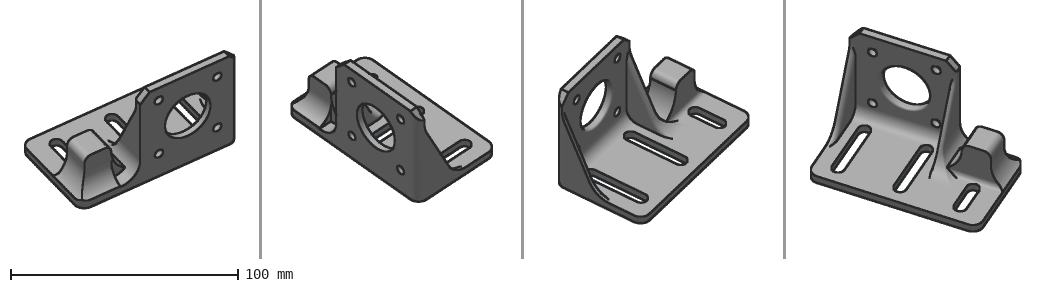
import cadquery as cq
import math

WIDTH = 48.0
LENGTH = 83.3
HEIGHT = 53.0
THICKNESS = 4.0
CORNER = 5.0

PLATE_FRONT = WIDTH - THICKNESS
PLATE_NEAR = 31.2
INNER_BEND = 6.0
BORE = 24.0
BORE_Y = 56.4
BORE_Z = 28.5
BORE_ROUND = 1.0
SCREW_HOLE = 4.3
SCREW_POINTS = [(72.05, 43.9), (41.1, 45.5), (72.05, 13.5), (41.2, 13.5)]

RIB_THICKNESS = 3.1
RIB_FOOT = 18.2
RIB_BLEND = 12.0
RIB_TOP = 45.0
RIB_INNER_ROUND = 2.0
RIB_OUTER_ROUND = 1.0
GUSSET_RADIUS = 10.0

MARGIN = 0.1

SLOT_WIDTH = 6.0
SLOT_START = 6.0
LONG_SLOT_END = 39.0
SHORT_SLOT_END = 25.0
SLOTS = [(72.3, LONG_SLOT_END), (42.2, LONG_SLOT_END), (12.9, SHORT_SLOT_END)]

BLOCK_LEFT = 27.0
BLOCK_RIGHT = 40.9
BLOCK_NEAR = 6.5
BLOCK_FAR = 20.7
BLOCK_TOP = 23.5
BLOCK_ROUND = 3.7
NEAR_SWEEP = 14.0
NEAR_SWEEP_TOP = 15.8
FAR_SWEEP = 16.0
LEFT_FILLET = 2.5
RIGHT_SWEEP = 10.0


def box(x0, x1, y0, y1, z0, z1):
    """Box between opposite corners."""
    return cq.Workplane("XY").box(x1 - x0, y1 - y0, z1 - z0, centered=False).translate((x0, y0, z0))


def arc_point(center, radius, angle):
    """Point on a circle, with the angle in radians."""
    return (center[0] + radius * math.cos(angle), center[1] + radius * math.sin(angle))


def extrude_y(outline, y0, y1):
    """Extrude a closed XZ outline from y0 to y1."""
    return outline.extrude(y0 - y1).translate((0, y0, 0))


def make_base():
    """Base slab with the bend that carries the upright plate."""
    base = box(0, WIDTH, 0, LENGTH, 0, THICKNESS)
    bend_start = PLATE_FRONT - INNER_BEND
    bend_center = (bend_start, THICKNESS + INNER_BEND)
    bend = (
        cq.Workplane("XZ")
        .moveTo(bend_start, 0)
        .lineTo(bend_start, THICKNESS)
        .threePointArc(
            arc_point(bend_center, INNER_BEND, -math.pi / 4),
            (PLATE_FRONT, THICKNESS + INNER_BEND),
        )
        .lineTo(PLATE_FRONT, 0)
        .close()
    )
    return base.union(extrude_y(bend, PLATE_NEAR + RIB_THICKNESS, LENGTH - RIB_THICKNESS))


def make_plate():
    plate = box(PLATE_FRONT, WIDTH, PLATE_NEAR, LENGTH, 0, HEIGHT)
    plate = plate.edges("|X and >Z").chamfer(CORNER)
    return plate.edges("|Z and <X and <Y").fillet(RIB_OUTER_ROUND)


def rib_outline():
    """Slope joined to the base and to the plate front by equal tangent arcs."""
    foot_center = (RIB_FOOT, THICKNESS + RIB_BLEND)
    top_center = (PLATE_FRONT - RIB_BLEND, RIB_TOP)
    slope = math.atan2(top_center[1] - foot_center[1], top_center[0] - foot_center[0])
    normal = slope - math.pi / 2
    return (
        cq.Workplane("XZ")
        .moveTo(RIB_FOOT, 0)
        .lineTo(RIB_FOOT, THICKNESS)
        .threePointArc(
            arc_point(foot_center, RIB_BLEND, (normal - math.pi / 2) / 2),
            arc_point(foot_center, RIB_BLEND, normal),
        )
        .lineTo(*arc_point(top_center, RIB_BLEND, normal))
        .threePointArc(
            arc_point(top_center, RIB_BLEND, normal / 2),
            (PLATE_FRONT, RIB_TOP),
        )
        .lineTo(WIDTH, RIB_TOP)
        .lineTo(WIDTH, 0)
        .close()
    )


def slope_edges(y0, y1):
    """Selector for the curved rib edges whose middles lie between y0 and y1."""
    return cq.selectors.BoxSelector(
        (RIB_FOOT + MARGIN, y0 - MARGIN, THICKNESS + MARGIN),
        (PLATE_FRONT - MARGIN, y1 + MARGIN, RIB_TOP - MARGIN),
    )


def make_far_rib():
    inner = LENGTH - RIB_THICKNESS
    rib = extrude_y(rib_outline(), inner, LENGTH)
    return rib.edges(slope_edges(inner, inner)).fillet(RIB_INNER_ROUND)


def make_near_rib():
    """Rib whose outer side flares into the base with a concave gusset."""
    inner = PLATE_NEAR + RIB_THICKNESS
    toe = PLATE_NEAR - GUSSET_RADIUS
    gusset_center = (toe, THICKNESS + GUSSET_RADIUS)
    section = (
        cq.Workplane("YZ")
        .moveTo(toe, 0)
        .lineTo(toe, THICKNESS)
        .threePointArc(
            arc_point(gusset_center, GUSSET_RADIUS, -math.pi / 4),
            (PLATE_NEAR, THICKNESS + GUSSET_RADIUS),
        )
        .lineTo(PLATE_NEAR, RIB_TOP)
        .lineTo(inner, RIB_TOP)
        .lineTo(inner, 0)
        .close()
        .extrude(WIDTH)
    )
    rib = section.intersect(extrude_y(rib_outline(), toe, inner))
    rib = rib.edges(slope_edges(inner, inner)).fillet(RIB_INNER_ROUND)
    outer_edges = rib.edges(slope_edges(toe + RIB_OUTER_ROUND, PLATE_NEAR)).edges("not |X")
    return outer_edges.fillet(RIB_OUTER_ROUND)


def block_side_outline():
    """YZ outline: rounded head on two concave sweeps."""
    round_mid = BLOCK_ROUND * (1 - math.sqrt(0.5))
    shoulder = BLOCK_TOP - BLOCK_ROUND
    far_center = (BLOCK_FAR + FAR_SWEEP, THICKNESS + FAR_SWEEP)
    far_end = math.pi + math.acos((far_center[0] - PLATE_NEAR) / FAR_SWEEP)
    near_center = (BLOCK_NEAR - NEAR_SWEEP, NEAR_SWEEP_TOP)
    near_end = -math.acos(-near_center[0] / NEAR_SWEEP)
    return (
        cq.Workplane("YZ")
        .moveTo(0, 0)
        .lineTo(*arc_point(near_center, NEAR_SWEEP, near_end))
        .threePointArc(arc_point(near_center, NEAR_SWEEP, near_end / 2), (BLOCK_NEAR, NEAR_SWEEP_TOP))
        .lineTo(BLOCK_NEAR, shoulder)
        .threePointArc(
            (BLOCK_NEAR + round_mid, BLOCK_TOP - round_mid),
            (BLOCK_NEAR + BLOCK_ROUND, BLOCK_TOP),
        )
        .lineTo(BLOCK_FAR - BLOCK_ROUND, BLOCK_TOP)
        .threePointArc((BLOCK_FAR - round_mid, BLOCK_TOP - round_mid), (BLOCK_FAR, shoulder))
        .lineTo(BLOCK_FAR, far_center[1])
        .threePointArc(
            arc_point(far_center, FAR_SWEEP, (math.pi + far_end) / 2),
            arc_point(far_center, FAR_SWEEP, far_end),
        )
        .lineTo(PLATE_NEAR, 0)
        .close()
    )


def block_front_outline():
    """XZ outline: small fillet at the left foot, wide sweep at the right."""
    left_center = (BLOCK_LEFT - LEFT_FILLET, THICKNESS + LEFT_FILLET)
    right_center = (BLOCK_RIGHT + RIGHT_SWEEP, THICKNESS + RIGHT_SWEEP)
    right_end = math.pi + math.acos((right_center[0] - WIDTH) / RIGHT_SWEEP)
    return (
        cq.Workplane("XZ")
        .moveTo(left_center[0], 0)
        .lineTo(left_center[0], THICKNESS)
        .threePointArc(
            arc_point(left_center, LEFT_FILLET, -math.pi / 4),
            (BLOCK_LEFT, THICKNESS + LEFT_FILLET),
        )
        .lineTo(BLOCK_LEFT, BLOCK_TOP)
        .lineTo(BLOCK_RIGHT, BLOCK_TOP)
        .lineTo(BLOCK_RIGHT, right_center[1])
        .threePointArc(
            arc_point(right_center, RIGHT_SWEEP, (math.pi + right_end) / 2),
            arc_point(right_center, RIGHT_SWEEP, right_end),
        )
        .lineTo(WIDTH, 0)
        .close()
    )


def make_block():
    block = block_side_outline().extrude(WIDTH)
    block = block.intersect(extrude_y(block_front_outline(), 0, PLATE_NEAR))
    return block.cut(box(BLOCK_RIGHT, WIDTH, BLOCK_FAR, PLATE_NEAR, 0, BLOCK_TOP))


def make_slot(y, end):
    """Cutter deep enough to pass through the fillets that the slot nicks."""
    center_x = (SLOT_START + end) / 2
    slot = cq.Workplane("XY").center(center_x, y).slot2D(end - SLOT_START, SLOT_WIDTH)
    return slot.extrude(THICKNESS + INNER_BEND)


def make_bores():
    """Screw holes and the main bore with its rounded front rim."""
    plane = cq.Workplane("YZ", origin=(PLATE_FRONT, 0, 0))
    bores = plane.pushPoints(SCREW_POINTS).circle(SCREW_HOLE / 2).extrude(THICKNESS)
    radius = BORE / 2
    rim = radius + BORE_ROUND
    rim_center = (BORE_ROUND, rim)
    bore = (
        cq.Workplane("XY")
        .lineTo(0, rim)
        .threePointArc(
            arc_point(rim_center, BORE_ROUND, 1.25 * math.pi),
            (BORE_ROUND, radius),
        )
        .lineTo(THICKNESS, radius)
        .lineTo(THICKNESS, 0)
        .close()
        .revolve(360, (0, 0), (1, 0))
        .translate((PLATE_FRONT, BORE_Y, BORE_Z))
    )
    return bores.union(bore)


def make_envelope():
    """Footprint with rounded corners, which also rounds the far edge of the plate."""
    envelope = box(0, WIDTH, 0, LENGTH, 0, HEIGHT)
    return envelope.edges("|Z").fillet(CORNER)


result = make_base().union(make_plate())
result = result.union(make_far_rib()).union(make_near_rib()).union(make_block())
for slot_y, slot_end in SLOTS:
    result = result.cut(make_slot(slot_y, slot_end))
result = result.cut(make_bores()).intersect(make_envelope())